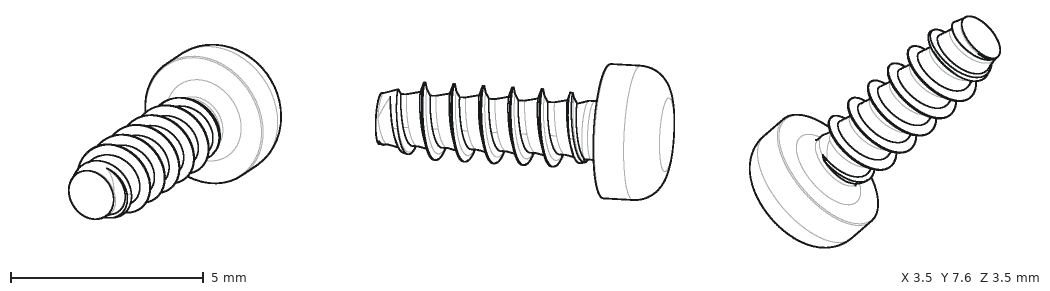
import cadquery as cq

TOTAL_LENGTH = 7.6

HEAD_RADIUS = 3.5 / 2
HEAD_HEIGHT = 1.595
DOME_RADIUS = 0.79
RIM_FILLET = 0.03

NECK_RADIUS = 0.77
NECK_FILLET = 0.35
NECK_END = 0.5
NECK_TAPER_END = 0.805

CORE_RADIUS = 0.68
TIP_RADIUS = 0.67
TIP_CONE_HEIGHT = 0.02
TIP_Z = HEAD_HEIGHT - TOTAL_LENGTH
TIP_EDGE_Z = TIP_Z + TIP_CONE_HEIGHT

PITCH = 0.779
TURNS = 8
CREST_RADIUS = 1.0
CREST_WIDTH = 0.03
FIRST_CREST = 0.745
THREAD_BASE_Z = -FIRST_CREST - (TURNS - 1) * PITCH
ROOT_RADIUS = 0.645
KNEE_RADIUS = 0.83
KNEE_RISE = 0.07
HEAD_FLANK_RISE = 0.18
TIP_FLANK_RADIUS = 0.75
TIP_FLANK_DROP = 0.1
TAPER_DROP = 0.58

RUN_IN_START = 0.52
RUN_IN_RADIUS = 0.84
RUN_IN_END = 1.52
RUN_OUT_START = 4.635
RUN_OUT_RADIUS = 0.65
ENVELOPE_RADIUS = CREST_RADIUS + 0.07


def make_head():
    cylinder = cq.Workplane("XY").circle(HEAD_RADIUS).extrude(HEAD_HEIGHT)
    domed = cylinder.faces(">Z").edges().fillet(DOME_RADIUS)
    return domed.faces("<Z").edges().fillet(RIM_FILLET)


def make_shank():
    fillet_center_r = NECK_RADIUS + NECK_FILLET
    diagonal = NECK_FILLET * 0.5**0.5
    profile = (
        cq.Workplane("XZ")
        .moveTo(0, RIM_FILLET)
        .lineTo(fillet_center_r, RIM_FILLET)
        .lineTo(fillet_center_r, 0)
        .threePointArc(
            (fillet_center_r - diagonal, diagonal - NECK_FILLET),
            (NECK_RADIUS, -NECK_FILLET),
        )
        .lineTo(NECK_RADIUS, -NECK_END)
        .lineTo(CORE_RADIUS, -NECK_TAPER_END)
        .lineTo(TIP_RADIUS, TIP_EDGE_Z)
        .lineTo(0, TIP_Z)
        .close()
    )
    return profile.revolve(360, (0, 0, 0), (0, 1, 0))


def make_thread_envelope():
    profile = cq.Workplane("XZ").polyline([
        (0, -RUN_IN_START),
        (RUN_IN_RADIUS, -RUN_IN_START),
        (ENVELOPE_RADIUS, -RUN_IN_END),
        (ENVELOPE_RADIUS, -RUN_OUT_START),
        (RUN_OUT_RADIUS, TIP_EDGE_Z),
        (0, TIP_EDGE_Z),
    ]).close()
    return profile.revolve(360, (0, 0, 0), (0, 1, 0))


def make_thread():
    helix = cq.Wire.makeHelix(PITCH, TURNS * PITCH, CORE_RADIUS)
    ridge = cq.Workplane("XZ").polyline([
        (ROOT_RADIUS, HEAD_FLANK_RISE),
        (KNEE_RADIUS, KNEE_RISE),
        (CREST_RADIUS, CREST_WIDTH / 2),
        (CREST_RADIUS, -CREST_WIDTH / 2),
        (TIP_FLANK_RADIUS, -TIP_FLANK_DROP),
        (ROOT_RADIUS, -TAPER_DROP),
    ]).close().sweep(cq.Workplane(helix), isFrenet=True)
    return ridge.translate((0, 0, THREAD_BASE_Z)).intersect(make_thread_envelope())


screw = make_head().union(make_shank()).union(make_thread())
result = screw.rotate((0, 0, 0), (1, 0, 0), -90)